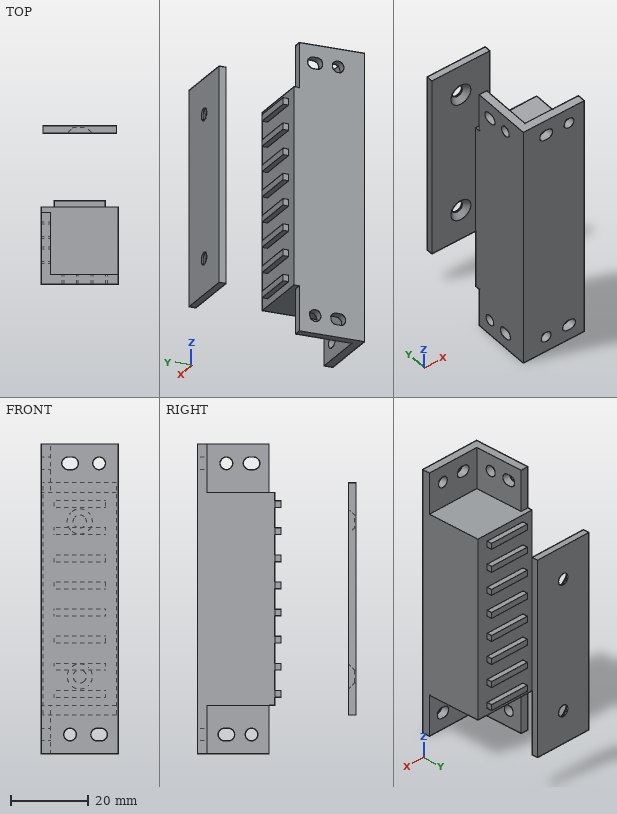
import cadquery as cq

width = 20.0
depth = 20.0
height = 80.0
wall = 2.5
side_leg_depth = 18.5

core_height = 55.0

rib_width = 13.2
rib_projection = 1.6
rib_height = 1.8
rib_count = 8
rib_pitch = 7.0

hole_diameter = 3.2
slot_length = 4.2
hole_end_margin = 5.0
front_hole_near = 7.5
front_hole_far = 15.0
side_hole_near = 7.5
side_hole_far = 14.0

plate_width = 19.0
plate_height = 60.0
plate_thickness = 2.0
plate_back = 41.0
screw_diameter = 3.4
screw_head_diameter = 6.5
screw_head_angle = 90.0
screw_end_margin = 10.0


def block(x_size, y_size, z_size, x_start, y_start):
    """Box placed by its low X and Y corner and centred on Z = 0."""
    return (
        cq.Workplane("XY")
        .box(x_size, y_size, z_size, centered=(False, False, True))
        .translate((x_start, y_start, 0))
    )


def leg_cutters(plane, slot_over_round, round_over_slot):
    """Cutters for one leg: two columns of holes, each a slot at one end and a round hole at the other."""
    row = height / 2 - hole_end_margin
    round_points = [(round_over_slot, row), (slot_over_round, -row)]
    slot_points = [(slot_over_round, row), (round_over_slot, -row)]
    rounds = plane.pushPoints(round_points).circle(hole_diameter / 2).extrude(wall)
    slots = plane.pushPoints(slot_points).slot2D(slot_length, hole_diameter).extrude(wall)
    return rounds.add(slots).combine()


def make_housing():
    front_leg = block(width, wall, height, 0, 0)
    side_leg = block(wall, side_leg_depth, height, 0, 0)
    core = block(width, depth, core_height, 0, 0)
    body = front_leg.union(side_leg).union(core)

    rib = block(rib_width, rib_projection, rib_height, (width - rib_width) / 2, depth)
    for index in range(rib_count):
        rib_z = (index - (rib_count - 1) / 2) * rib_pitch
        body = body.union(rib.translate((0, 0, rib_z)))

    front_plane = cq.Workplane("XZ", origin=(0, wall, 0))
    side_plane = cq.Workplane("YZ")
    body = body.cut(leg_cutters(front_plane, front_hole_near, front_hole_far))
    return body.cut(leg_cutters(side_plane, side_hole_far, side_hole_near))


def make_cover_plate():
    plate_x = (width - plate_width) / 2
    plate_front = plate_back - plate_thickness
    plate = block(plate_width, plate_thickness, plate_height, plate_x, plate_front)
    screw_z = plate_height / 2 - screw_end_margin
    return (
        plate.faces("<Y")
        .workplane(centerOption="CenterOfBoundBox")
        .pushPoints([(0, screw_z), (0, -screw_z)])
        .cskHole(screw_diameter, screw_head_diameter, screw_head_angle)
    )


housing = make_housing()
cover_plate = make_cover_plate()

result = cq.Compound.makeCompound([housing.val(), cover_plate.val()])